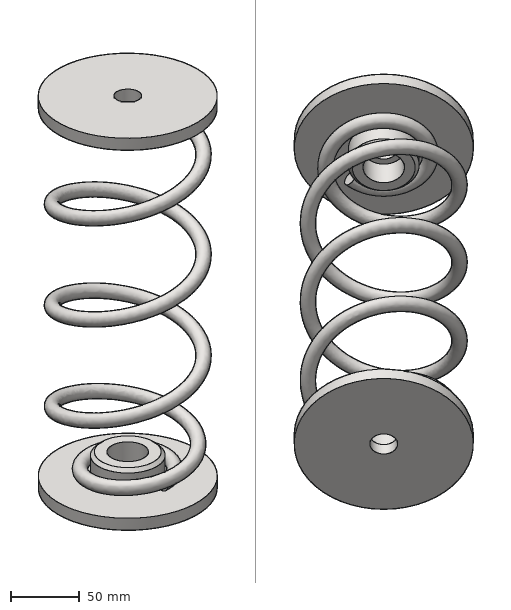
import cadquery as cq
import math

total_height = 323.5

plate_diameter = 130.0
plate_thickness = 10.0
lower_boss_diameter = 54.5
upper_boss_diameter = 51.5
boss_height = 19.7
boss_chamfer = 3.0
hole_diameter = 20.0
counterbore_diameter = 30.0

wire_diameter = 11.3
seat_gap = 0.05
end_radius = 34.0
main_radius = 55.0

total_angle = 5.5 * 360
taper_start = 190.0
taper_end = 490.0
pitch_ramp_start = 160.0
pitch_ramp_end = 560.0
sample_step = 15

end_height = plate_thickness + seat_gap + wire_diameter / 2
pitch_ramp_middle = (pitch_ramp_start + pitch_ramp_end) / 2
rise_per_degree = (total_height / 2 - end_height) / (total_angle / 2 - pitch_ramp_middle)


def make_end_plate(boss_diameter):
    """Flanged plate with its boss upward; the counterbore runs through the boss."""
    plate = cq.Workplane("XY").circle(plate_diameter / 2).extrude(plate_thickness)
    boss = (
        cq.Workplane("XY", origin=(0, 0, plate_thickness))
        .circle(boss_diameter / 2)
        .extrude(boss_height)
        .faces(">Z")
        .chamfer(boss_chamfer)
    )
    return (
        plate.union(boss)
        .faces(">Z")
        .workplane()
        .cboreHole(hole_diameter, counterbore_diameter, boss_height)
    )


def coil_radius(end_angle):
    """Closed end coil, then a smooth cosine widening to the main coils."""
    share = (end_angle - taper_start) / (taper_end - taper_start)
    share = min(max(share, 0.0), 1.0)
    blend = (1 - math.cos(math.pi * share)) / 2
    return end_radius + (main_radius - end_radius) * blend


def coil_rise(end_angle):
    """Flat end coil, then a steadily growing pitch up to the constant main pitch."""
    if end_angle <= pitch_ramp_start:
        return 0.0
    if end_angle >= pitch_ramp_end:
        return rise_per_degree * (end_angle - pitch_ramp_middle)
    ramp_length = pitch_ramp_end - pitch_ramp_start
    return rise_per_degree * (end_angle - pitch_ramp_start) ** 2 / (2 * ramp_length)


def centreline_point(angle):
    """Point of the right-handed wire centreline; a half turn about Y maps it onto itself."""
    end_angle = min(angle, total_angle - angle)
    radius = coil_radius(end_angle)
    height = end_height + coil_rise(end_angle)
    if angle > total_angle / 2:
        height = total_height - height
    turn = math.radians(angle)
    return cq.Vector(radius * math.cos(turn), radius * math.sin(turn), height)


def make_spring():
    """Round wire swept along the centreline."""
    points = [centreline_point(angle) for angle in range(0, int(total_angle) + 1, sample_step)]
    centreline = cq.Workplane("XY").spline(points)
    return (
        cq.Workplane("XZ", origin=(end_radius, 0, end_height))
        .circle(wire_diameter / 2)
        .sweep(centreline)
    )


lower_plate = make_end_plate(lower_boss_diameter)
upper_plate = (
    make_end_plate(upper_boss_diameter)
    .rotate((0, 0, 0), (0, 1, 0), 180)
    .translate((0, 0, total_height))
)
spring = make_spring()

result = cq.Compound.makeCompound([lower_plate.val(), upper_plate.val(), spring.val()])